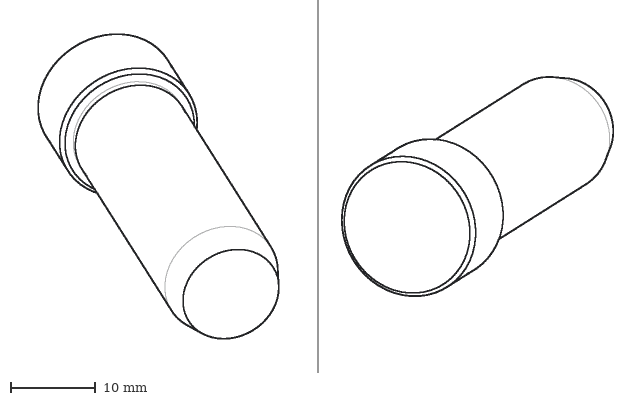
import cadquery as cq
import math

total_length = 52.0
head_length = 10.0
head_diameter = 17.0
head_chamfer = 0.5
shank_diameter = 14.0

groove_width = 1.0
groove_depth = groove_width / 2

taper_length = 4.0
taper_angle = 15.0

head_radius = head_diameter / 2
shank_radius = shank_diameter / 2
tip_radius = shank_radius - taper_length * math.tan(math.radians(taper_angle))

head_face = -total_length / 2
shoulder = head_face + head_length
groove_middle = shoulder + groove_width / 2
groove_end = shoulder + groove_width
tip_face = total_length / 2
taper_start = tip_face - taper_length

half_profile = (
    cq.Workplane("XY")
    .moveTo(head_face, 0)
    .lineTo(head_face, head_radius - head_chamfer)
    .lineTo(head_face + head_chamfer, head_radius)
    .lineTo(shoulder - head_chamfer, head_radius)
    .lineTo(shoulder, head_radius - head_chamfer)
    .lineTo(shoulder, shank_radius)
    .threePointArc((groove_middle, shank_radius - groove_depth), (groove_end, shank_radius))
    .lineTo(taper_start, shank_radius)
    .lineTo(tip_face, tip_radius)
    .lineTo(tip_face, 0)
    .close()
)

result = half_profile.revolve(360, (0, 0, 0), (1, 0, 0))